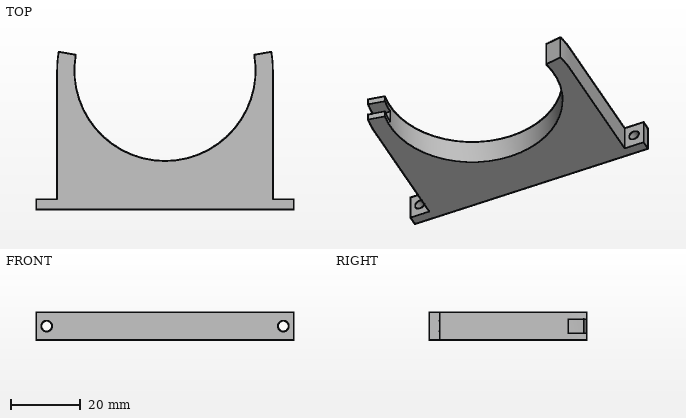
import cadquery as cq
import math

flange_length = 74.0
flange_thickness = 3.0
height = 8.0
bore_radius = 26.0
outer_radius = 31.0
bore_center_y = 39.95
arm_end_angle = 10.0
hole_diameter = 3.0
hole_edge_distance = 3.0
slot_height = height / 2


def polar_point(radius, degrees):
    """Point at an angle around the bore centre."""
    angle = math.radians(degrees)
    return radius * math.cos(angle), bore_center_y + radius * math.sin(angle)


def make_saddle():
    """Block with a round seat, ending in two arms with radial end faces."""
    outer_x, outer_y = polar_point(outer_radius, arm_end_angle)
    inner_x, inner_y = polar_point(bore_radius, arm_end_angle)
    outer_mid_x, outer_mid_y = polar_point(outer_radius, arm_end_angle / 2)
    return (
        cq.Workplane("XY")
        .moveTo(-outer_radius, 0)
        .lineTo(outer_radius, 0)
        .lineTo(outer_radius, bore_center_y)
        .threePointArc((outer_mid_x, outer_mid_y), (outer_x, outer_y))
        .lineTo(inner_x, inner_y)
        .threePointArc((0, bore_center_y - bore_radius), (-inner_x, inner_y))
        .lineTo(-outer_x, outer_y)
        .threePointArc((-outer_mid_x, outer_mid_y), (-outer_radius, bore_center_y))
        .close()
        .extrude(height)
    )


def make_flange():
    """Mounting strip with a screw hole near each end."""
    strip = cq.Workplane("XY").box(
        flange_length, flange_thickness, height, centered=(True, False, False)
    )
    hole_x = flange_length / 2 - hole_edge_distance
    holes = (
        cq.Workplane("XZ")
        .pushPoints([(-hole_x, height / 2), (hole_x, height / 2)])
        .circle(hole_diameter / 2)
        .extrude(-flange_thickness)
    )
    return strip.cut(holes)


def make_arm_slot():
    """Cutter that forks the +X arm from its tip back to the bore's diameter."""
    return (
        cq.Workplane("XY")
        .box(outer_radius, outer_radius, slot_height, centered=(False, False, True))
        .translate((outer_radius / 2, bore_center_y, height / 2))
    )


result = make_saddle().union(make_flange()).cut(make_arm_slot())